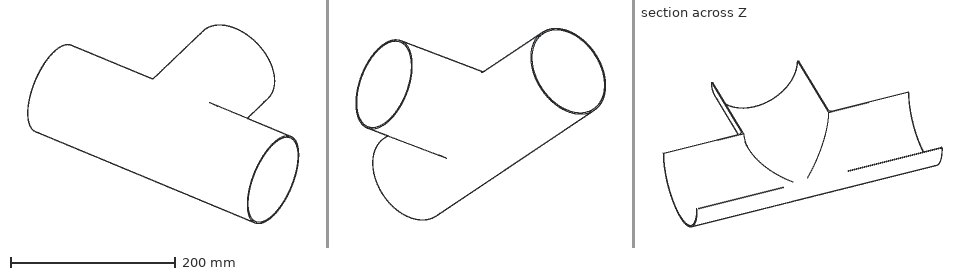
import cadquery as cq

run_length = 320.0
outer_diameter = 114.2
bore_diameter = 110.5
overall_depth = 217.3
junction_fillet_radius = 4.0

outer_radius = outer_diameter / 2
branch_reach = overall_depth - outer_radius


def tee_body(diameter):
    """Solid tee of two equal cylinders whose axes meet at the origin."""
    run = cq.Workplane("YZ").circle(diameter / 2).extrude(run_length / 2, both=True)
    branch = cq.Workplane("XZ").circle(diameter / 2).extrude(-branch_reach)
    return run.union(branch)


def fillet_junction(body):
    """Round the concave mitre edges, the only elliptical edges of the tee."""
    mitre_edges = body.edges("%ELLIPSE")
    return mitre_edges.fillet(junction_fillet_radius)


outer_body = fillet_junction(tee_body(outer_diameter))
bores = tee_body(bore_diameter)
result = outer_body.cut(bores)